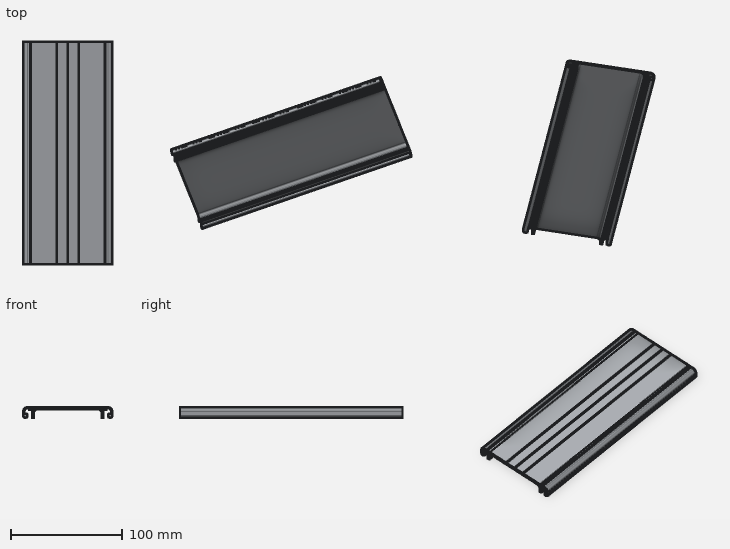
import cadquery as cq
import math

width = 80.0
length = 200.0
height = 9.5

rim_thickness = 1.0
rim_radius = 4.0
bead_radius = 2.0

plate_thickness = 1.9
leg_outer_x = 32.2
leg_bend_radius = 5.0

notch_count = 3
notch_first_z = -4.2
notch_pitch = 1.2
notch_width = 0.6
notch_depth = 0.4

rib_x = 34.0
rib_width = 1.2
rib_bottom_z = -2.5
rib_root_fillet = 0.8

middle_groove_positions = (-10.0, 0.0, 10.0)
middle_groove_width = 0.6
middle_groove_depth = 0.3
edge_groove_x = 33.4
edge_groove_width = 0.8
edge_groove_depth = 0.3

half_width = width / 2
cos_45 = math.cos(math.radians(45))


def extrude(outline):
    """Close an X-Z outline and extrude it over the full length, centred on Y = 0."""
    return outline.close().extrude(length / 2, both=True)


def make_channel():
    """Central plate and its two legs, with rounded corners."""
    inner_x = leg_outer_x - plate_thickness
    inner_radius = leg_bend_radius - plate_thickness
    outer = (
        cq.Workplane("XY")
        .box(2 * leg_outer_x, length, height, centered=(True, True, False))
        .translate((0, 0, -height))
        .edges("|Y and >Z")
        .fillet(leg_bend_radius)
    )
    inner_height = height - plate_thickness
    inner = (
        cq.Workplane("XY")
        .box(2 * inner_x, length, inner_height, centered=(True, True, False))
        .translate((0, 0, -height))
        .edges("|Y and >Z")
        .fillet(inner_radius)
    )
    return outer.cut(inner)


def make_rim():
    """Left rim: thin flange curling down into a hook that ends in a round bead."""
    inner_radius = rim_radius - rim_thickness
    arc_x = -half_width + rim_radius
    bead_z = -height + bead_radius
    flange_end_x = -leg_outer_x + leg_bend_radius
    hook = extrude(
        cq.Workplane("XZ")
        .moveTo(flange_end_x, 0)
        .lineTo(arc_x, 0)
        .threePointArc(
            (arc_x - rim_radius * cos_45, -rim_radius + rim_radius * cos_45),
            (-half_width, -rim_radius),
        )
        .lineTo(-half_width, bead_z)
        .lineTo(-half_width + rim_thickness, bead_z)
        .lineTo(-half_width + rim_thickness, -rim_radius)
        .threePointArc(
            (arc_x - inner_radius * cos_45, -rim_radius + inner_radius * cos_45),
            (arc_x, -rim_thickness),
        )
        .lineTo(flange_end_x, -rim_thickness)
    )
    bead = (
        cq.Workplane("XZ")
        .center(-half_width + bead_radius, bead_z)
        .circle(bead_radius)
        .extrude(length / 2, both=True)
    )
    return hook.union(bead)


def make_rib():
    """Left rib under the flange, flared where it meets the flange."""
    left = -rib_x - rib_width / 2
    right = -rib_x + rib_width / 2
    root_z = -rim_thickness
    flare_z = root_z - rib_root_fillet
    bulge = rib_root_fillet * (1 - cos_45)
    return extrude(
        cq.Workplane("XZ")
        .moveTo(left - rib_root_fillet, root_z)
        .threePointArc((left - bulge, root_z - bulge), (left, flare_z))
        .lineTo(left, rib_bottom_z)
        .lineTo(right, rib_bottom_z)
        .lineTo(right, flare_z)
        .threePointArc((right + bulge, root_z - bulge), (right + rib_root_fillet, root_z))
    )


def top_groove(x, groove_width, groove_depth):
    """V-groove cutter along the top face, centred at x."""
    return extrude(
        cq.Workplane("XZ")
        .moveTo(x - groove_width / 2, 0)
        .lineTo(x + groove_width / 2, 0)
        .lineTo(x, -groove_depth)
    )


def leg_notch(z):
    """V-notch cutter on the outer face of the left leg, centred at height z."""
    return extrude(
        cq.Workplane("XZ")
        .moveTo(-leg_outer_x, z - notch_width / 2)
        .lineTo(-leg_outer_x, z + notch_width / 2)
        .lineTo(-leg_outer_x + notch_depth, z)
    )


left_side = make_rim().union(make_rib())
result = make_channel().union(left_side).union(left_side.mirror("YZ"))

for groove_x in middle_groove_positions:
    result = result.cut(top_groove(groove_x, middle_groove_width, middle_groove_depth))

for groove_x in (-edge_groove_x, edge_groove_x):
    result = result.cut(top_groove(groove_x, edge_groove_width, edge_groove_depth))

for index in range(notch_count):
    notch = leg_notch(notch_first_z - index * notch_pitch)
    result = result.cut(notch).cut(notch.mirror("YZ"))